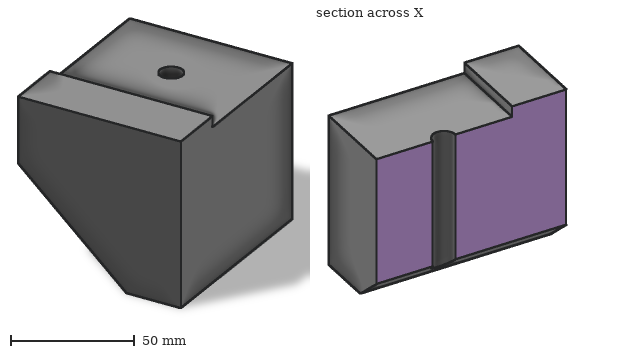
import cadquery as cq

width = 76.2
depth = 88.9
height = 76.2

side_height = 30.5
foot_width = 25.4

lip_depth = 25.4
lip_height = 5.0

hole_diameter = 10.4

ledge_depth = depth - lip_depth
ledge_center_y = lip_depth + ledge_depth / 2


def make_body():
    """Five-sided profile in XZ, extruded from the front face toward +Y."""
    profile = [
        (0, height),
        (width, height),
        (width, 0),
        (width - foot_width, 0),
        (0, height - side_height),
    ]
    return cq.Workplane("XZ").polyline(profile).close().extrude(-depth)


def make_ledge_cut():
    """Material removed behind the lip to lower the top face."""
    return (
        cq.Workplane("XY")
        .box(width, ledge_depth, lip_height, centered=False)
        .translate((0, lip_depth, height - lip_height))
    )


def make_hole():
    """Vertical through hole centred on the ledge, leaving through the slope."""
    return (
        cq.Workplane("XY")
        .center(width / 2, ledge_center_y)
        .circle(hole_diameter / 2)
        .extrude(height)
    )


result = make_body().cut(make_ledge_cut()).cut(make_hole())